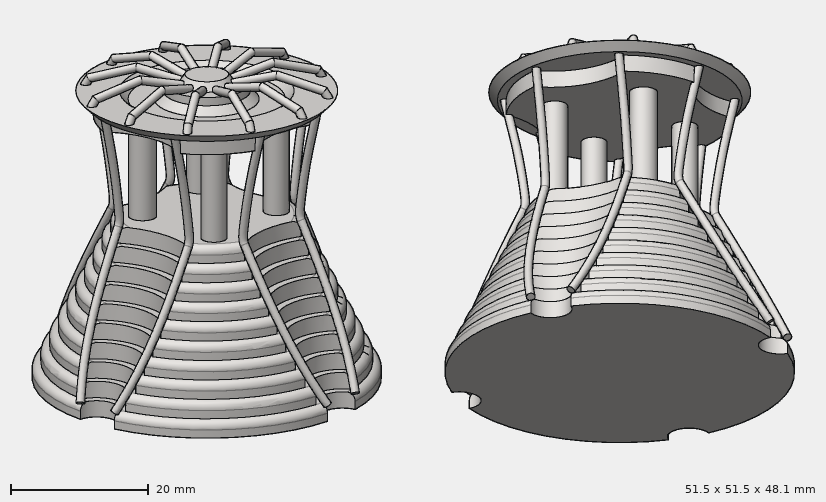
import cadquery as cq
import math

base_radius = 25.4
layer_count = 10
layer_height = base_radius / layer_count
step = layer_height / 2
base_height = layer_count * layer_height
scoop_radius = base_radius / 8
scoop_count = 4

post_length = 6 * layer_height
post_radius = 1.9
post_offset = 0.4 * base_radius
front_post_radius = 2.05
front_post_offset = 9.4
post_angles = (45, 135, -45)
front_post_angle = -135

ring_radius = 0.65 * base_radius
ring_scoop_radius = base_radius / 2
ring_bottom = base_height + post_length
flange_bottom = ring_bottom + layer_height
flange_top = flange_bottom + step
flange_radius = 0.75 * base_radius
groove_radius = base_radius / 2
hub_radius = base_radius / 4
hub_top = flange_top + step
cap_radius = base_radius / 8
cap_base_radius = 4.1
cap_top = hub_top + step

rod_radius = step / 2
corner_stride = 3
neck_z = 28.15
neck_offset = 12.25
flare_z = 35.6
flare_offset = 13.55
tube_top_offset = 15.45
rib_count = 12
total_height = 48.1
rib_inner_radius, rib_inner_z = 3.75, 45.8
rib_peak_radius = 10.3
rib_peak_z = total_height - rod_radius
rib_knee_radius, rib_knee_z = 17.25, 45.4
rib_foot_radius, rib_foot_z = 18.1, 44.05


def spun_copies(body, count):
    """Return count copies of body spaced evenly around Z."""
    return [body.rotate((0, 0, 0), (0, 0, 1), 360 * i / count) for i in range(count)]


def fused(bodies):
    """Join all bodies in one operation."""
    solids = [body.val() for body in bodies]
    return cq.Workplane("XY").newObject([solids[0].fuse(*solids[1:])])


def layer_radius(index):
    return base_radius - index * step


def layer_scoop_radius(index):
    return scoop_radius + index * step


def scoops(radius, bottom, height):
    """Upright cylinders to cut from the four sides, centred over the rim of the base."""
    return (
        cq.Workplane("XY", origin=(0, 0, bottom))
        .polarArray(base_radius, 0, 360, scoop_count)
        .circle(radius)
        .extrude(height)
    )


def base_layer(index):
    """One disc with a rounded top edge and a scoop on each side."""
    bottom = index * layer_height
    disc = cq.Workplane("XY", origin=(0, 0, bottom)).circle(layer_radius(index)).extrude(layer_height)
    rounded = disc.faces(">Z").edges().fillet(step)
    return rounded.cut(scoops(layer_scoop_radius(index), bottom, layer_height))


def scoop_corner(index):
    """Point where the +X scoop of a layer meets its rim, on the layer's top plane."""
    disc = layer_radius(index)
    scoop = layer_scoop_radius(index)
    x = (disc**2 + base_radius**2 - scoop**2) / (2 * base_radius)
    y = math.sqrt(disc**2 - x**2)
    return (x, y, (index + 1) * layer_height)


def post(radius, offset, angle):
    x = offset * math.cos(math.radians(angle))
    y = offset * math.sin(math.radians(angle))
    return cq.Workplane("XY", origin=(x, y, base_height)).circle(radius).extrude(post_length)


def ring():
    """Ring over the posts, scooped like the layers below."""
    blank = cq.Workplane("XY", origin=(0, 0, ring_bottom)).circle(ring_radius).extrude(layer_height)
    return blank.cut(scoops(ring_scoop_radius, ring_bottom, layer_height))


def flange():
    """Bevelled flange with its round groove, hub and tapered cap, as one turned body."""
    return (
        cq.Workplane("XZ")
        .moveTo(0, flange_bottom)
        .lineTo(flange_radius - step, flange_bottom)
        .lineTo(flange_radius, flange_top)
        .lineTo(groove_radius, flange_top)
        .lineTo(groove_radius - step, flange_bottom)
        .lineTo(hub_radius + step, flange_bottom)
        .lineTo(hub_radius, flange_top)
        .lineTo(hub_radius, hub_top)
        .lineTo(cap_base_radius, hub_top)
        .lineTo(cap_radius, cap_top)
        .lineTo(0, cap_top)
        .close()
        .revolve(360, (0, 0, 0), (0, 1, 0))
    )


def swept_rod(path, transition="transformed"):
    """Round rod that follows a path from its start."""
    line = path.val()
    plane = cq.Plane(line.startPoint(), normal=line.tangentAt(0))
    return cq.Workplane(plane).circle(rod_radius).sweep(path, transition=transition)


def scoop_tube():
    """Tube beside one edge of the +X scoop: the climb over the layers, then the flare to the flange."""
    corners = [cq.Vector(*scoop_corner(i)) for i in range(0, layer_count, corner_stride)]
    climb = cq.Workplane("XY").spline(corners)
    side = corners[-1].y
    flare_points = [
        corners[-1],
        cq.Vector(neck_offset, side, neck_z),
        cq.Vector(flare_offset, side, flare_z),
        cq.Vector(tube_top_offset, side, flange_bottom + rod_radius / 2),
    ]
    flare_start = climb.val().tangentAt(1)
    flare_end = flare_points[-1] - flare_points[-2]
    flare = cq.Workplane("XY").spline(flare_points, tangents=[flare_start, flare_end])
    return [swept_rod(climb), swept_rod(flare)]


def rib():
    """Bent rod from the cap, up to a peak and down onto the flange rim."""
    path = (
        cq.Workplane("XZ")
        .moveTo(rib_inner_radius, rib_inner_z)
        .lineTo(rib_peak_radius, rib_peak_z)
        .lineTo(rib_knee_radius, rib_knee_z)
        .lineTo(rib_foot_radius, rib_foot_z)
        .wire()
    )
    return swept_rod(path, transition="right")


base = fused([base_layer(i) for i in range(layer_count)])
posts = [post(post_radius, post_offset, angle) for angle in post_angles]
posts.append(post(front_post_radius, front_post_offset, front_post_angle))
head = fused([ring(), flange()] + spun_copies(rib(), rib_count))

tubes = []
for tube in scoop_tube():
    tubes += spun_copies(tube, scoop_count)
    tubes += spun_copies(tube.mirror("XZ"), scoop_count)

joined = fused([base, head] + posts + tubes)
result = joined.solids()